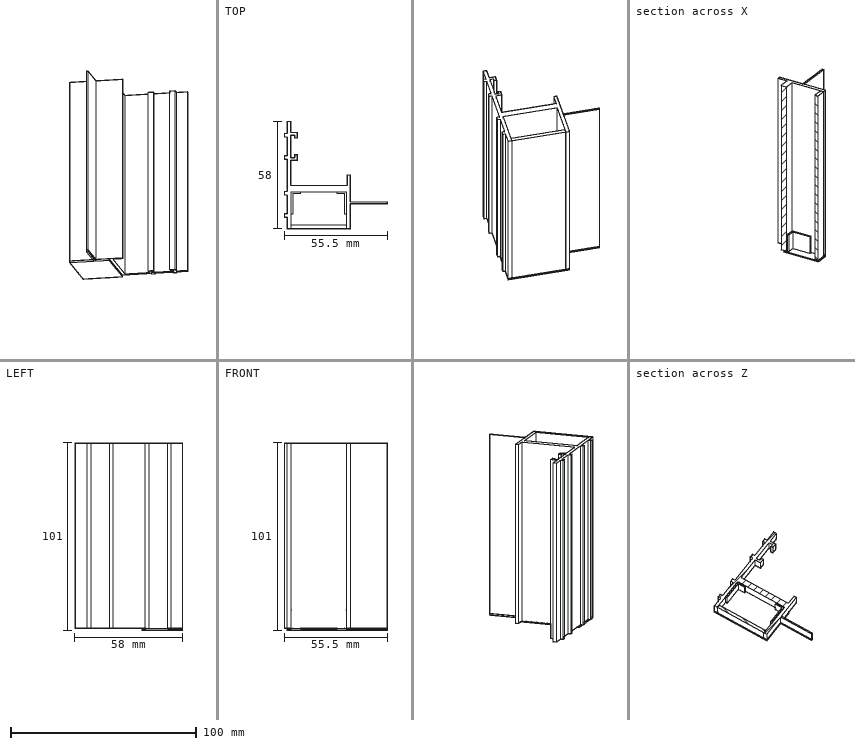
import cadquery as cq

total_height = 101.0
cap_thickness = 0.9
cap_gap = 0.1
profile_bottom = cap_thickness + cap_gap
profile_height = total_height - profile_bottom

box_width = 34.0
wall = 2.0
long_wall_length = 58.0
short_wall_length = 29.2
web_front = 20.0
web_thickness = 3.5
web_back = web_front + web_thickness
short_wall_tip_thickness = 1.7
cavity_width = box_width - 2 * wall

fin_length = 20.0
fin_thickness = 1.0
fin_front = 13.5

rib_height = 1.5
rib_width = 2.0
rib_pitch = 12.0
rib_pair_starts = [6.2, 37.5]

hook_reach = 3.4
hook_arm = 1.5
hook_lip = 1.4
hook_depth = 3.0
hook_span = 15.0
hook_center = rib_pair_starts[1] + (rib_pitch + rib_width) / 2

cover_thickness = 2.0
cover_clearance = 0.1

cap_depth = 21.8
tab_thickness = 0.9
tab_clearance = 0.1
tab_length_x = 5.0
tab_length_y = 11.8
tab_height = 10.1


def block(x0, x1, y0, y1, z0, z1):
    """Axis-aligned block between the given limits."""
    return cq.Workplane("XY").box(x1 - x0, y1 - y0, z1 - z0, centered=False).translate((x0, y0, z0))


def bar(x0, x1, y0, y1):
    """Bar running the full height of the profile."""
    return block(x0, x1, y0, y1, profile_bottom, total_height)


def make_hook(side):
    """Hook on one side of the hook center; its lip points back to the center."""
    outer = hook_center + side * hook_span / 2
    arm_inner = outer - side * hook_arm
    lip_end = outer - side * hook_depth
    tip = wall + hook_reach
    outline = [
        (wall, outer),
        (tip, outer),
        (tip, lip_end),
        (tip - hook_lip, lip_end),
        (tip - hook_lip, arm_inner),
        (wall, arm_inner),
    ]
    return cq.Workplane("XY").workplane(offset=profile_bottom).polyline(outline).close().extrude(profile_height)


def make_profile():
    """Extruded profile: walls, web, fin, outer ribs and hooks."""
    profile = bar(0, wall, 0, long_wall_length)
    profile = profile.union(bar(wall, box_width, web_front, web_back))
    profile = profile.union(bar(box_width - wall, box_width, 0, web_back))
    profile = profile.union(bar(box_width - short_wall_tip_thickness, box_width, web_back, short_wall_length))
    profile = profile.union(bar(box_width, box_width + fin_length, fin_front, fin_front + fin_thickness))
    for pair_start in rib_pair_starts:
        for rib_start in (pair_start, pair_start + rib_pitch):
            profile = profile.union(bar(-rib_height, 0, rib_start, rib_start + rib_width))
    for side in (-1, 1):
        profile = profile.union(make_hook(side))
    return profile


def make_cover():
    """Flat strip between the two walls, flush with their front edges."""
    start = wall + cover_clearance
    end = wall + cavity_width - cover_clearance
    return bar(start, end, 0, cover_thickness)


def make_corner_tab():
    """L-shaped tab in the cavity corner between the long wall and the web."""
    x0 = wall + tab_clearance
    y1 = web_front - tab_clearance
    z1 = cap_thickness + tab_height
    long_leg = block(x0, x0 + tab_thickness, y1 - tab_length_y, y1, 0, z1)
    short_leg = block(x0, x0 + tab_length_x, y1 - tab_thickness, y1, 0, z1)
    return long_leg.union(short_leg)


def make_cap():
    """Plate under the box and fin, with a mirrored pair of corner tabs."""
    cap = block(0, box_width, 0, cap_depth, 0, cap_thickness)
    fin_plate = block(
        box_width, box_width + fin_length, fin_front, fin_front + fin_thickness, 0, cap_thickness
    )
    tab = make_corner_tab()
    mirrored_tab = tab.mirror("YZ", (box_width / 2, 0, 0))
    return cap.union(fin_plate).union(tab).union(mirrored_tab)


profile = make_profile()
cover = make_cover()
end_cap = make_cap()

result = cq.Compound.makeCompound([profile.val(), cover.val(), end_cap.val()])